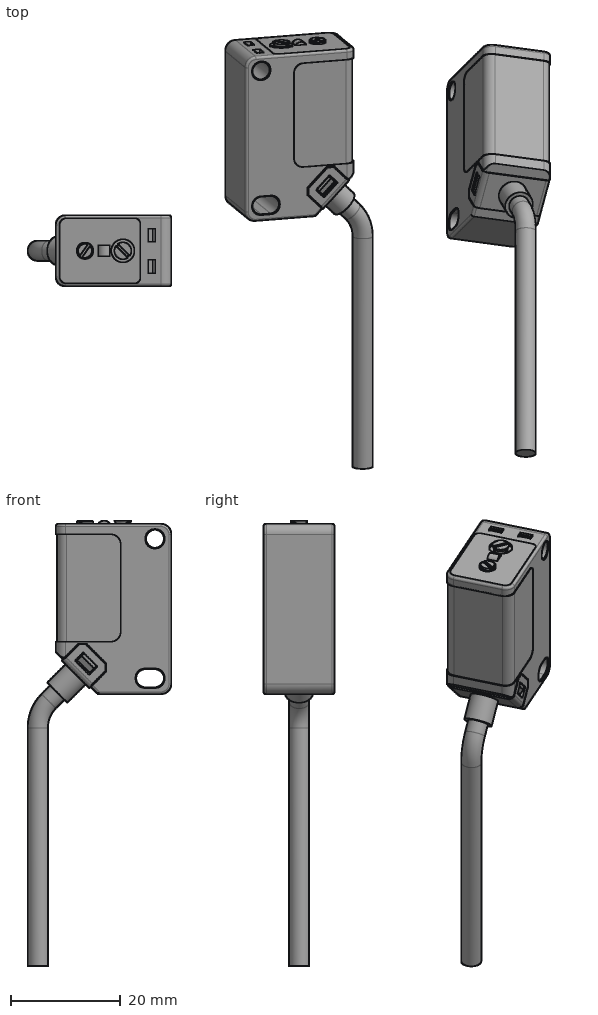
import cadquery as cq
import math


overall_height = 81.1
housing_length = 21.1
housing_width = 13
housing_height = 31.05
control_height = 0.6

corner_cut = 7.7
back_radius = 1.95
front_radius = 1.8
edge_radius = 0.5

hole_diameter = 3.25
hole_chamfer = 0.2
rim_angle = 45
hole_from_back = 3.0
upper_hole_from_top = 2.75
slot_height = 2.9
slot_pitch = 1.8

window_bottom = 9.6
window_from_top = 1.95
window_depth = 11.8
window_corner_radius = 1.8
window_setback = 0.25
window_side_setback = 0.1
window_thickness = 0.8

cover_front = 0.7
cover_margin = 0.6
cover_back = 15.4
cover_thickness = 0.8
cover_back_radius = 1.0

small_dial_x = 5.35
small_dial_diameter = 3.0
small_dial_chamfer = 0.25
small_dial_slot_angle = 55
indicator_x = 8.8
indicator_length = 2.1
indicator_width = 1.95
large_dial_x = 12.25
large_dial_top_diameter = 3.1
large_dial_neck_diameter = 2.6
dial_well_diameter = 4.2
dial_well_depth = 0.5
large_dial_slot_angle = -45
dial_slot_width = 0.5
dial_slot_depth = 0.4

recess_x = 17.5
recess_y = 2.8
recess_length = 1.3
recess_width = 2.4
recess_depth = 0.8
recess_step_length = 0.5
recess_step_depth = 0.4

clip_proud = 0.3
clip_length = 7.1
clip_depth = 5.35
clip_corner_chamfer = 1.0
clip_edge_radius = 1.0
clip_side_chamfer = 0.2
clip_pocket_length = 3.65
clip_pocket_height = 2.1
clip_pocket_depth = 0.65
clip_pocket_from_face = 2.75
catch_length = 3.25
catch_height = 0.5
catch_ramp = 1.1
catch_land = 0.65

sleeve_diameter = 5.2
sleeve_length = 4.7
cable_diameter = 3.7
cable_x = -3.25
cable_bend_radius = 6.8

half_width = housing_width / 2
cable_end = housing_height + control_height - overall_height
cut_distance = corner_cut / math.sqrt(2)
clip_face = cut_distance - clip_proud

clip_plane = cq.Plane(
    origin=(clip_face / math.sqrt(2), 0, clip_face / math.sqrt(2)),
    xDir=(1, 0, -1),
    normal=(1, 0, 1),
)


def plan_prism(front, side, radius, back, bottom, top):
    """Upright block with rounded front corners, set in from the housing front and sides."""
    return (
        cq.Workplane("XY", origin=(0, 0, bottom))
        .moveTo((front + back) / 2, 0)
        .rect(back - front, housing_width - 2 * side)
        .extrude(top - bottom)
        .edges("|Z and <X")
        .fillet(radius)
    )


def make_blank():
    """Outer shape of the housing before anything is let into it."""
    side = (
        cq.Workplane("XZ", origin=(0, half_width, 0))
        .moveTo(corner_cut, 0)
        .lineTo(housing_length, 0)
        .lineTo(housing_length, housing_height)
        .lineTo(0, housing_height)
        .lineTo(0, corner_cut)
        .close()
        .extrude(housing_width)
        .edges("|Y and >X")
        .fillet(back_radius)
        .faces("<Y or >Y")
        .edges()
        .fillet(edge_radius)
    )
    rounded_front = (
        plan_prism(0, 0, front_radius, housing_length, 0, housing_height)
        .faces(">Z")
        .edges("<X")
        .fillet(edge_radius)
    )
    return side.intersect(rounded_front)


def make_window_space(blank):
    """C-shaped space for the window around the front of the housing."""
    top = housing_height - window_from_top
    height = top - window_bottom
    region = (
        cq.Workplane("XY")
        .box(window_depth, housing_width, height, centered=(False, True, False))
        .translate((0, 0, window_bottom))
        .edges("|Y and >X")
        .fillet(window_corner_radius)
    )
    core = plan_prism(
        window_setback + window_thickness,
        window_thickness,
        front_radius - window_thickness,
        housing_length,
        window_bottom,
        top,
    )
    return blank.intersect(region).cut(core)


def make_window(space):
    """Window filling its space up to slightly below the housing skin."""
    skin = plan_prism(
        window_setback,
        window_side_setback,
        front_radius - window_side_setback,
        housing_length,
        0,
        housing_height,
    )
    return space.intersect(skin)


def make_cover_plate():
    """Cover plate let into the top of the housing, still without recesses."""
    plate = plan_prism(
        cover_front,
        cover_margin,
        front_radius - cover_margin,
        cover_back,
        housing_height - cover_thickness,
        housing_height,
    )
    return plate.edges("|Z and >X").fillet(cover_back_radius)


def dial_slot(x, angle, length):
    """Cutter for a screwdriver slot across a dial."""
    return (
        cq.Workplane("XY", origin=(x, 0, housing_height + control_height))
        .transformed(rotate=(0, 0, angle))
        .rect(length, dial_slot_width)
        .extrude(-dial_slot_depth)
    )


def make_small_dial():
    """Slotted disc standing on the cover."""
    disc = (
        cq.Workplane("XY", origin=(small_dial_x, 0, housing_height))
        .circle(small_dial_diameter / 2)
        .extrude(control_height)
        .faces(">Z")
        .chamfer(small_dial_chamfer)
    )
    return disc.cut(dial_slot(small_dial_x, small_dial_slot_angle, small_dial_diameter))


def dial_well():
    """Cutter for the round well in the cover that the large dial stands in."""
    return (
        cq.Workplane("XY", origin=(large_dial_x, 0, housing_height))
        .circle(dial_well_diameter / 2)
        .extrude(-dial_well_depth)
    )


def make_large_dial():
    """Slotted knob on the floor of its well, flared above the cover."""
    neck_radius = large_dial_neck_diameter / 2
    dial = (
        cq.Workplane("XZ", origin=(large_dial_x, 0, housing_height))
        .moveTo(0, -dial_well_depth)
        .lineTo(neck_radius, -dial_well_depth)
        .lineTo(neck_radius, 0)
        .lineTo(large_dial_top_diameter / 2, control_height)
        .lineTo(0, control_height)
        .close()
        .revolve()
    )
    return dial.cut(dial_slot(large_dial_x, large_dial_slot_angle, large_dial_top_diameter))


def make_indicator():
    """Low arched light guide standing on the cover."""
    return (
        cq.Workplane("XZ", origin=(indicator_x, indicator_width / 2, housing_height))
        .moveTo(-indicator_length / 2, 0)
        .threePointArc((0, control_height), (indicator_length / 2, 0))
        .close()
        .extrude(indicator_width)
    )


def make_clip_block():
    """Clip outline through the full width of the housing."""
    return (
        cq.Workplane(clip_plane)
        .rect(clip_length, housing_width)
        .extrude(clip_depth)
        .faces(cq.selectors.DirectionMinMaxSelector(cq.Vector(1, 0, 1)))
        .edges("|Y")
        .chamfer(clip_corner_chamfer)
    )


def clip_pocket():
    """Cutter for the pocket in the -Y side of the clip, leaving a ramped catch on its floor."""
    floor_y = clip_pocket_depth - half_width
    pocket = (
        cq.Workplane(clip_plane)
        .workplane(offset=clip_pocket_from_face - clip_pocket_height / 2)
        .moveTo(0, floor_y - clip_pocket_depth / 2)
        .rect(clip_pocket_length, clip_pocket_depth)
        .extrude(clip_pocket_height)
    )
    catch_plane = cq.Plane(origin=clip_plane.origin, xDir=(1, 0, 1), normal=(-1, 0, 1))
    catch_end = clip_pocket_from_face + clip_pocket_height / 2
    land_start = catch_end - catch_land
    catch = (
        cq.Workplane(catch_plane)
        .moveTo(land_start - catch_ramp, floor_y)
        .lineTo(land_start, floor_y - catch_height)
        .lineTo(catch_end, floor_y - catch_height)
        .lineTo(catch_end, floor_y)
        .close()
        .extrude(catch_length / 2, both=True)
    )
    return pocket.cut(catch)


def make_clip(block):
    """Clip with rounded outer edges, chamfered side faces and a catch pocket in both sides."""
    outer_face = cq.selectors.DirectionMinMaxSelector(cq.Vector(1, 0, 1), directionMax=False)
    long_edges = cq.selectors.ParallelDirSelector(cq.Vector(1, 0, -1))
    pocket = clip_pocket()
    rounded = block.faces(outer_face).edges(long_edges).fillet(clip_edge_radius)
    chamfered = block.faces("<Y or >Y").chamfer(clip_side_chamfer)
    return rounded.intersect(chamfered).cut(pocket).cut(pocket.mirror("XZ"))


def make_sleeve():
    """Round sleeve standing square on the outer clip face."""
    return cq.Workplane(clip_plane).circle(sleeve_diameter / 2).extrude(-sleeve_length)


def make_cable():
    """Cable that leaves the sleeve at 45 degrees and bends straight down."""
    start = (clip_face - sleeve_length) / math.sqrt(2)
    tangent = cable_bend_radius * math.tan(math.pi / 8)
    bend_bottom = cable_x - tangent
    bend_top = cable_x + tangent / math.sqrt(2)
    path = (
        cq.Workplane("XZ")
        .moveTo(start, start)
        .lineTo(bend_top, bend_top)
        .tangentArcPoint((cable_x, bend_bottom), relative=False)
        .lineTo(cable_x, cable_end)
    )
    return cq.Workplane(clip_plane).workplane(offset=-sleeve_length).circle(cable_diameter / 2).sweep(path)


def hole_outline(y, spread):
    """Outlines of the round upper hole and the slotted lower hole, in the plane at the given Y."""
    hole_x = housing_length - hole_from_back
    diameter = hole_diameter + 2 * spread
    return (
        cq.Workplane("XZ", origin=(hole_x, y, 0))
        .moveTo(0, housing_height - upper_hole_from_top)
        .circle(diameter / 2)
        .moveTo(-slot_pitch / 2, slot_height)
        .slot2D(slot_pitch + diameter, diameter)
    )


def mounting_holes():
    """Cutters for the mounting holes and for the chamfered rim on the -Y and +Y sides."""
    through = hole_outline(half_width, 0).extrude(housing_width)
    near_rim = hole_outline(-half_width, hole_chamfer).extrude(-hole_chamfer, taper=rim_angle)
    return [through, near_rim, near_rim.mirror("XZ")]


def catch_recesses():
    """Cutter for the two stepped recesses in the top, behind the cover."""
    step_x = recess_x + (recess_length - recess_step_length) / 2
    top = cq.Workplane("XY", origin=(0, 0, housing_height))
    places = [(0, recess_y), (0, -recess_y)]
    deep = top.center(recess_x, 0).pushPoints(places).rect(recess_length, recess_width).extrude(-recess_depth)
    step = (
        top.workplane(offset=-recess_step_depth)
        .center(step_x, 0)
        .pushPoints(places)
        .rect(recess_step_length, recess_width)
        .extrude(recess_step_depth - recess_depth)
    )
    return deep.cut(step)


def make_housing(blank, window_space, cover_plate, clip_block):
    """Housing with recesses for the window, the cover and the clip, and its mounting holes."""
    body = blank.cut(window_space).cut(cover_plate).cut(clip_block).cut(catch_recesses())
    for hole in mounting_holes():
        body = body.cut(hole)
    return body


blank = make_blank()
window_space = make_window_space(blank)
cover_plate = make_cover_plate()
clip_block = make_clip_block()

housing = make_housing(blank, window_space, cover_plate, clip_block)
window = make_window(window_space)
small_dial = make_small_dial()
indicator = make_indicator()
large_dial = make_large_dial()
cover = cover_plate.cut(dial_well())
clip = make_clip(clip_block)
sleeve = make_sleeve()
cable = make_cable()

result = cq.Compound.makeCompound([
    housing.val(),
    window.val(),
    cover.val(),
    small_dial.val(),
    indicator.val(),
    large_dial.val(),
    clip.val(),
    sleeve.val(),
    cable.val(),
])